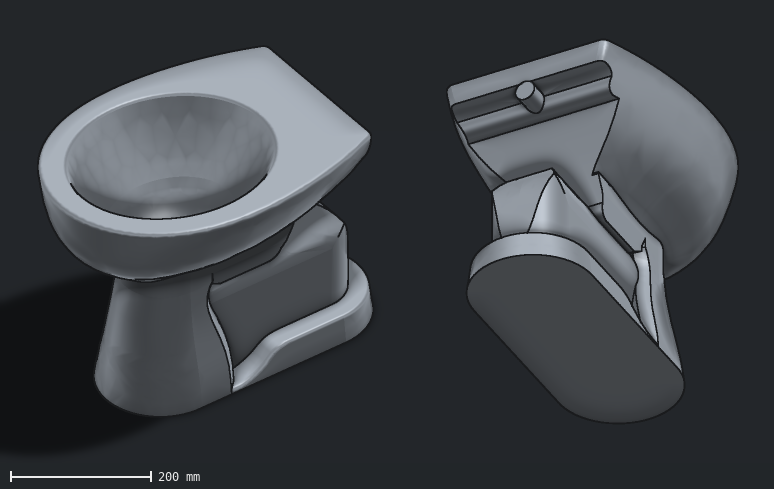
import cadquery as cq
import math

total_length = 531.0
total_height = 390.0

rim_half_width = 177.6
rim_back = 460.0
rim_back_half_width = 127.5
rim_widest = 231.0
rim_corner = 13.5
rim_fillet = 7.5
shell_base = 212.5
rim_underside = 352.5
rim_edge = 379.5

basin_center = 196.0
basin_half_width = 136.5
basin_half_length = 157.5
basin_lip = 7.0
sump_half_width = 79.0
sump_half_length = 99.0
sump_top = 284.0
sump_floor = 239.0
sump_floor_half_width = 18.5
sump_floor_half_length = 39.5

neck_half_width = 67.0
neck_front = 115.0
neck_back = 363.5
neck_overlap = 21.0
ledge_bottom = 175.0
ledge_top = 207.0
ledge_front = 196.5
ledge_back = 324.0
ledge_overhang = 8.0
column_top = 191.0
column_center = 181.5
column_corner = 16.0
foot_half_width = 95.0
foot_height = 45.0
dip_front = 191.0
dip_front_height = 13.0
dip_back = 345.0
foot_taper = 7.5
foot_fillet = 6.5

trap_half_width = 58.5
trap_back = 495.0
trap_front = 202.0
trap_top = 225.0
trap_spring = 85.0
trap_shoulder = 44.0
pipe_radius = 15.5
pipe_height = 337.0
pipe_end = 461.0
pipe_start = 382.0


def mirror_points(points):
    """Points of the -X side, from the last given point back to the first."""
    return [(-x, y) for x, y in reversed(points)]


def shell_wire(height, front, half_width, back, back_half_width):
    """Egg-shaped horizontal section with a straight back edge."""
    widest = front + (back - front) * rim_widest / rim_back
    reach = widest - front
    rear = back - widest
    side = back_half_width - half_width
    half = [
        (back_half_width, back),
        (half_width + 0.44 * side, widest + 0.65 * rear),
        (half_width + 0.11 * side, widest + 0.3 * rear),
        (half_width, widest),
        (0.87 * half_width, front + 0.45 * reach),
        (0.615 * half_width, front + 0.18 * reach),
    ]
    outline = half + [(0, front)] + mirror_points(half)
    sketch = cq.Workplane("XY", origin=(0, 0, height)).moveTo(*outline[0])
    return sketch.spline(outline[1:], includeCurrent=True).close().val()


def rear_cutter():
    """Space behind the bowl: under the rim, round the inlet lug, down the slope."""
    lug_back = 431.5
    lug_bottom = 318.5
    slope_top = (403.5, lug_bottom)
    slope_bottom = (344.0, ledge_bottom + 18.5)
    return (
        cq.Workplane("YZ")
        .moveTo(total_length, rim_underside)
        .lineTo(rim_back - 5.5, rim_underside)
        .spline([(440.5, 348.5), (lug_back, 340.0)], includeCurrent=True)
        .threePointArc((426.5, 325.5), (414.0, lug_bottom))
        .lineTo(*slope_top)
        .threePointArc((380.0, 265.0), slope_bottom)
        .threePointArc((337.5, 181.0), (ledge_back, ledge_bottom))
        .lineTo(ledge_back, ledge_bottom - 5.5)
        .lineTo(total_length, ledge_bottom - 5.5)
        .close()
        .extrude(rim_half_width + 5.5, both=True)
    )


def bowl_shell():
    sections = [
        (shell_base, 111.5, neck_half_width - 3.0, 371.5, 42.5),
        (229.5, 86.0, 70.5, 385.0, 50.5),
        (271.0, 39.0, 118.5, 419.5, 74.5),
        (306.0, 14.5, 146.0, 438.0, 98.0),
        (rim_underside, 2.0, 169.0, 457.5, 121.0),
        (rim_edge, 0.0, rim_half_width, rim_back, rim_back_half_width),
        (total_height, 0.0, rim_half_width, rim_back, rim_back_half_width),
    ]
    wires = [shell_wire(*section) for section in sections]
    shell = cq.Workplane(cq.Solid.makeLoft(wires))
    rear_corners = cq.selectors.BoxSelector(
        (-rim_half_width, rim_back - 159.5, shell_base + 26.5),
        (rim_half_width, rim_back + 5.5, total_height - 5.5),
    )
    shell = shell.edges(rear_corners).fillet(rim_corner)
    return shell.faces(">Z").edges().fillet(rim_fillet)


def ellipse_wire(height, half_width, half_length):
    sketch = cq.Workplane("XY", origin=(0, basin_center, height))
    return sketch.ellipse(half_width, half_length).val()


def basin():
    funnel = cq.Solid.makeLoft([
        ellipse_wire(sump_top, sump_half_width, sump_half_length),
        ellipse_wire(
            (sump_top + total_height) / 2,
            (sump_half_width + basin_half_width) / 2 + 4.0,
            (sump_half_length + basin_half_length) / 2 + 4.0,
        ),
        ellipse_wire(total_height, basin_half_width, basin_half_length),
    ])
    sump = cq.Solid.makeLoft([
        ellipse_wire(sump_floor, sump_floor_half_width, sump_floor_half_length),
        ellipse_wire(
            sump_floor + 0.3 * (sump_top - sump_floor),
            0.7 * sump_half_width,
            0.75 * sump_half_length,
        ),
        ellipse_wire(sump_top, sump_half_width, sump_half_length),
    ])
    return cq.Workplane(funnel).union(cq.Workplane(sump))


def neck_outline():
    """Plan of the neck at the top of the ledge: round front, straight sides."""
    return (
        cq.Workplane("XY", origin=(0, 0, ledge_top))
        .moveTo(neck_half_width, column_center)
        .threePointArc((0, neck_front), (-neck_half_width, column_center))
        .lineTo(-neck_half_width, neck_back)
        .lineTo(neck_half_width, neck_back)
        .close()
    )


def neck():
    """Upright neck whose sides hang below the bowl as a ledge over the trap."""
    top = neck_outline().extrude(shell_base + neck_overlap - ledge_top)
    skirt_height = ledge_top - ledge_bottom
    skirt_taper = math.degrees(math.atan(ledge_overhang / skirt_height))
    skirt = neck_outline().extrude(-skirt_height, taper=skirt_taper)
    under_front = (
        cq.Workplane("YZ")
        .moveTo(0, ledge_bottom)
        .lineTo(ledge_front + 42.5, ledge_bottom)
        .spline([(ledge_front + 21, 188.5), (ledge_front, ledge_top)], includeCurrent=True)
        .lineTo(ledge_front - 10.5, column_top)
        .lineTo(0, column_top)
        .close()
        .extrude(neck_half_width + 5.5, both=True)
    )
    return top.union(skirt.cut(under_front))


def column_wire(height, front, half_width, back):
    return (
        cq.Workplane("XY", origin=(0, 0, height))
        .moveTo(half_width, column_center)
        .threePointArc((0, front), (-half_width, column_center))
        .lineTo(-half_width, back - column_corner)
        .lineTo(column_corner - half_width, back)
        .lineTo(half_width - column_corner, back)
        .lineTo(half_width, back - column_corner)
        .close()
        .val()
    )


def column():
    sections = [
        (0.0, 82.5, foot_half_width, 249.5),
        (32.0, 87.5, 92.0, 249.5),
        (103.5, 100.5, 77.0, 239.0),
        (159.5, 109.5, 68.5, 225.5),
        (column_top, neck_front, neck_half_width, 236.0),
    ]
    body = cq.Solid.makeLoft([column_wire(*section) for section in sections])
    cap = cq.Workplane(column_wire(*sections[-1])).toPending()
    return cq.Workplane(body).union(cap.extrude(shell_base + neck_overlap - column_top))


def foot():
    """Low plinth with a round back; its top dips towards the column."""
    back_center = total_length - foot_half_width
    plinth = (
        cq.Workplane("XY")
        .moveTo(foot_half_width, column_center)
        .lineTo(foot_half_width, back_center)
        .threePointArc((0, total_length), (-foot_half_width, back_center))
        .lineTo(-foot_half_width, column_center)
        .close()
        .extrude(foot_height, taper=foot_taper)
    )
    dip = (
        cq.Workplane("YZ")
        .moveTo(0, foot_height + 5.5)
        .lineTo(0, dip_front_height)
        .lineTo(dip_front, dip_front_height)
        .spline(
            [(253.0, 9.0), (297.5, 26.5), (dip_back, foot_height)],
            tangents=[(1, 0), (1, 0)],
            includeCurrent=True,
        )
        .lineTo(dip_back, foot_height + 5.5)
        .close()
        .extrude(foot_half_width + 5.5, both=True)
    )
    plinth = plinth.cut(dip)
    top_edges = cq.selectors.BoxSelector(
        (-foot_half_width, column_center + 16, 5.5),
        (foot_half_width, total_length, foot_height + 0.5),
    )
    return plinth.edges(top_edges).edges("not |X").fillet(foot_fillet)


def trap():
    """Domed housing: side profile limited by a round-backed plan and an arched end."""
    dome = (
        cq.Workplane("YZ")
        .moveTo(trap_front, 2.5)
        .lineTo(trap_back, 2.5)
        .lineTo(trap_back, foot_height)
        .spline(
            [(485.0, 109.0), (466.5, 173.0), (438.5, 205.0), (406.0, 220.0), (361.0, trap_top)],
            includeCurrent=True,
        )
        .lineTo(trap_front, trap_top)
        .close()
        .extrude(trap_half_width + 5.5, both=True)
    )
    back_center = trap_back - trap_half_width
    plan = (
        cq.Workplane("XY")
        .moveTo(trap_half_width, trap_front)
        .lineTo(trap_half_width, back_center)
        .threePointArc((0, trap_back), (-trap_half_width, back_center))
        .lineTo(-trap_half_width, trap_front)
        .close()
        .extrude(trap_top)
    )
    arch = (
        cq.Workplane("XZ")
        .moveTo(-trap_half_width, 0)
        .lineTo(-trap_half_width, trap_spring)
        .spline(
            [(-trap_shoulder, 186.0), (0, trap_top), (trap_shoulder, 186.0), (trap_half_width, trap_spring)],
            tangents=[(0, 1), (0, -1)],
            includeCurrent=True,
        )
        .lineTo(trap_half_width, 0)
        .close()
        .extrude(-total_length)
    )
    return dome.intersect(plan).intersect(arch)


def inlet_pipe():
    return (
        cq.Workplane("XZ", origin=(0, pipe_end, pipe_height))
        .circle(pipe_radius)
        .extrude(pipe_end - pipe_start)
    )


upper = bowl_shell().union(neck()).cut(rear_cutter()).cut(basin())
basin_edge = cq.selectors.BoxSelector(
    (-5.5, basin_center - basin_half_length - 5.5, total_height - 0.5),
    (5.5, basin_center + basin_half_length + 5.5, total_height + 0.5),
    boundingbox=False,
)
upper = upper.edges(basin_edge).fillet(basin_lip)
lower = foot().union(column()).union(trap())
result = upper.union(lower).union(inlet_pipe())